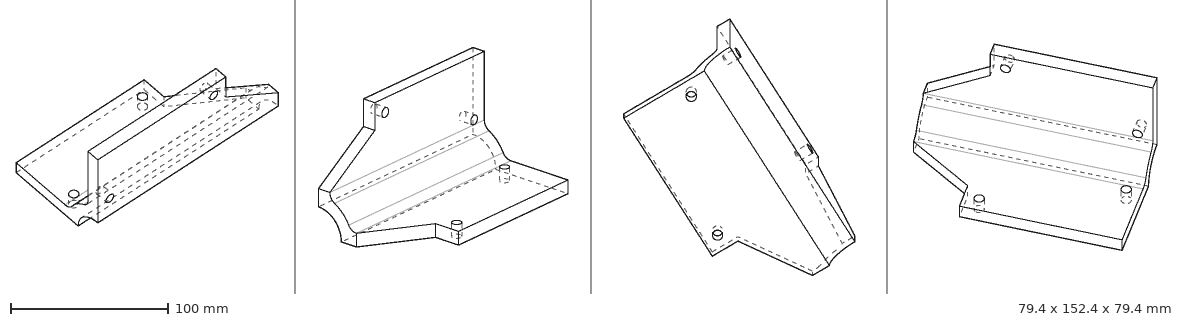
import cadquery as cq
import math

length = 152.4
flange_width = 79.4
thickness = 9.6
groove_radius = 19.0
bend_radius = groove_radius + thickness

fillet_radius = 7.3

step_length = 44.3
step_width = 19.2

hole_diameter = 6.5
hole_margin = 10.2
inner_hole_offset = 35.0

fillet_height = thickness + fillet_radius
center_distance = bend_radius + fillet_radius
fillet_start = math.sqrt(center_distance**2 - fillet_height**2)
center_angle = math.atan2(fillet_height, fillet_start)
diagonal = math.sqrt(0.5)

front_y = -length / 2
back_y = length / 2
step_y = back_y - step_length


def polar(radius, angle):
    """Distances (along -X, along +Z) of a point from the bend axis."""
    return radius * math.cos(angle), radius * math.sin(angle)


def make_profile_body():
    """Constant cross-section, extruded along the whole length."""
    touch_out, touch_up = polar(bend_radius, center_angle)
    middle_angle = (math.pi / 2 + center_angle) / 2
    middle_out = fillet_start - fillet_radius * math.cos(middle_angle)
    middle_up = fillet_height - fillet_radius * math.sin(middle_angle)
    return (
        cq.Workplane("XZ", origin=(0, back_y, 0))
        .moveTo(-groove_radius, 0)
        .lineTo(-flange_width, 0)
        .lineTo(-flange_width, thickness)
        .lineTo(-fillet_start, thickness)
        .threePointArc((-middle_out, middle_up), (-touch_out, touch_up))
        .threePointArc((-bend_radius * diagonal, bend_radius * diagonal), (-touch_up, touch_out))
        .threePointArc((-middle_up, middle_out), (-thickness, fillet_start))
        .lineTo(-thickness, flange_width)
        .lineTo(0, flange_width)
        .lineTo(0, groove_radius)
        .threePointArc((-groove_radius * diagonal, groove_radius * diagonal), (-groove_radius, 0))
        .close()
        .extrude(length)
    )


def make_flange_cutter():
    """Corner and hole cutter for the horizontal flange."""
    corner = (
        cq.Workplane("XY")
        .polyline([
            (-flange_width, step_y),
            (-flange_width + step_width, step_y),
            (-fillet_start, back_y),
            (-flange_width, back_y),
        ])
        .close()
        .extrude(thickness)
    )
    holes = (
        cq.Workplane("XY")
        .pushPoints([
            (-flange_width + hole_margin, step_y - hole_margin),
            (-inner_hole_offset, front_y + hole_margin),
        ])
        .circle(hole_diameter / 2)
        .extrude(thickness)
    )
    return corner.union(holes)


flange_cutter = make_flange_cutter()
upright_cutter = flange_cutter.mirror("XY").rotate((0, 0, 0), (0, 1, 0), 90)

result = make_profile_body().cut(flange_cutter).cut(upright_cutter)